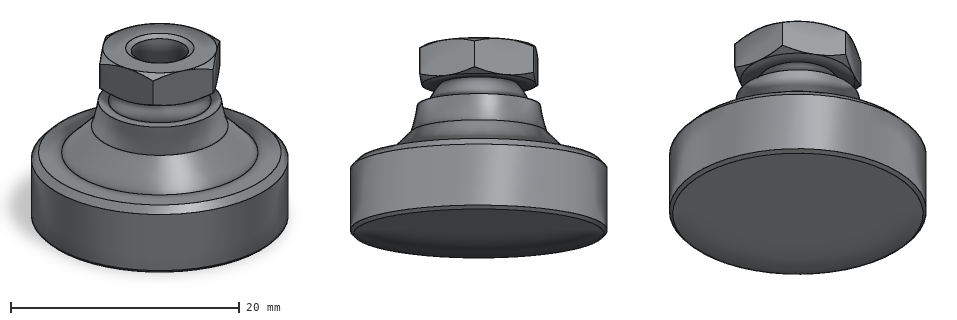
import cadquery as cq
import math

pad_radius = 11.25
pad_height = 6.37
pad_top_chamfer = 0.63
pad_bottom_chamfer = 0.3

cone_bottom_radius = 8.6
collar_bottom_radius = 5.98
collar_bottom_z = 8.95
collar_top_radius = 5.4
collar_top_z = 11.4
collar_sag = 0.07

total_height = 16.5
head_height = 3.2
head_across_flats = 10.0
head_chamfer_angle = 30.0
ball_radius = 4.7
ball_center_z = 10.05

hole_radius = 2.5
hole_mouth_radius = 3.0
hole_mouth_angle = 120.0
hole_depth = 7.88
hole_tip_angle = 118.0

head_bottom_z = total_height - head_height


def make_ball():
    return cq.Workplane("XY").sphere(ball_radius).translate((0, 0, ball_center_z))


def make_pad():
    """Chamfered disc with a spherical seat for the underside of the ball."""
    disc = cq.Workplane("XY").circle(pad_radius).extrude(pad_height)
    disc = disc.faces(">Z").chamfer(pad_top_chamfer)
    disc = disc.faces("<Z").chamfer(pad_bottom_chamfer)
    return disc.cut(make_ball())


def make_socket():
    """Ring that stands on the pad and holds the ball from above."""
    collar_mid_radius = (collar_bottom_radius + collar_top_radius) / 2 - collar_sag
    collar_mid_z = (collar_bottom_z + collar_top_z) / 2
    ring = (
        cq.Workplane("XZ")
        .moveTo(0, pad_height)
        .lineTo(cone_bottom_radius, pad_height)
        .lineTo(collar_bottom_radius, collar_bottom_z)
        .threePointArc((collar_mid_radius, collar_mid_z), (collar_top_radius, collar_top_z))
        .lineTo(0, collar_top_z)
        .close()
        .revolve(360, (0, 0, 0), (0, 1, 0))
    )
    return ring.cut(make_ball())


def make_head():
    """Hexagon with corners along Y, its corners chamfered at both ends."""
    flat_radius = head_across_flats / 2
    corner_radius = flat_radius / math.cos(math.radians(30))
    corner_drop = (corner_radius - flat_radius) * math.tan(math.radians(head_chamfer_angle))
    hexagon = (
        cq.Workplane("XY", origin=(0, 0, head_bottom_z))
        .polygon(6, 2 * corner_radius)
        .extrude(head_height)
        .rotate((0, 0, 0), (0, 0, 1), 30)
    )
    chamfer_envelope = (
        cq.Workplane("XZ")
        .moveTo(0, head_bottom_z)
        .lineTo(flat_radius, head_bottom_z)
        .lineTo(corner_radius, head_bottom_z + corner_drop)
        .lineTo(corner_radius, total_height - corner_drop)
        .lineTo(flat_radius, total_height)
        .lineTo(0, total_height)
        .close()
        .revolve(360, (0, 0, 0), (0, 1, 0))
    )
    return hexagon.intersect(chamfer_envelope)


def make_hole():
    """Countersunk blind hole with a conical bottom."""
    mouth_width = hole_mouth_radius - hole_radius
    mouth_depth = mouth_width / math.tan(math.radians(hole_mouth_angle / 2))
    hole_bottom_z = total_height - hole_depth
    tip_depth = hole_radius / math.tan(math.radians(hole_tip_angle / 2))
    return (
        cq.Workplane("XZ")
        .moveTo(0, total_height)
        .lineTo(hole_mouth_radius, total_height)
        .lineTo(hole_radius, total_height - mouth_depth)
        .lineTo(hole_radius, hole_bottom_z)
        .lineTo(0, hole_bottom_z - tip_depth)
        .close()
        .revolve(360, (0, 0, 0), (0, 1, 0))
    )


def make_ball_stud():
    return make_ball().union(make_head()).cut(make_hole())


pad = make_pad()
socket = make_socket()
ball_stud = make_ball_stud()

result = cq.Compound.makeCompound([pad.val(), socket.val(), ball_stud.val()])